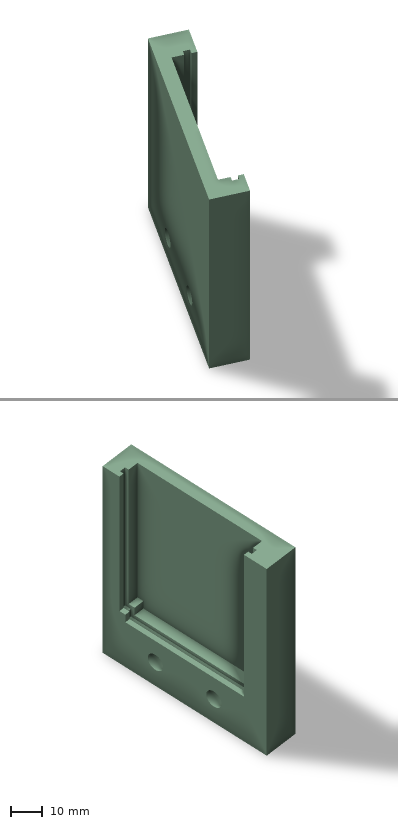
import cadquery as cq

width = 70.0
thickness = 13.5
height = 81.6

cavity_width = 50.6
cavity_depth = 8.5
cavity_floor = 19.6

groove_depth = 1.55
groove_back_offset = 1.95
groove_thickness = 2.4

ledge_width = 2.5
ledge_rise = 3.3

hole_diameter = 6.5
hole_spacing = 25.0
hole_height = 10.3


def stepped_pocket(pocket_width, front, back, floor):
    """Pocket from the floor to the top, with a ledge step on its +X side."""
    left = -pocket_width / 2
    right = pocket_width / 2
    ledge = floor + ledge_rise
    outline = [
        (left, floor),
        (right, floor),
        (right, ledge),
        (right + ledge_width, ledge),
        (right + ledge_width, height),
        (left, height),
    ]
    return cq.Workplane("XZ", origin=(0, back, 0)).polyline(outline).close().extrude(back - front)


block = cq.Workplane("XY").box(width, thickness, height, centered=(True, False, False))

cavity = stepped_pocket(cavity_width, thickness - cavity_depth, thickness, cavity_floor)

groove_width = cavity_width + 2 * groove_depth
groove_floor = cavity_floor - groove_depth
groove_back = thickness - groove_back_offset
groove = stepped_pocket(groove_width, groove_back - groove_thickness, groove_back, groove_floor)

mounting_holes = (
    cq.Workplane("XZ", origin=(0, thickness, hole_height))
    .pushPoints([(-hole_spacing / 2, 0), (hole_spacing / 2, 0)])
    .circle(hole_diameter / 2)
    .extrude(thickness)
)

result = block.cut(cavity).cut(groove).cut(mounting_holes)